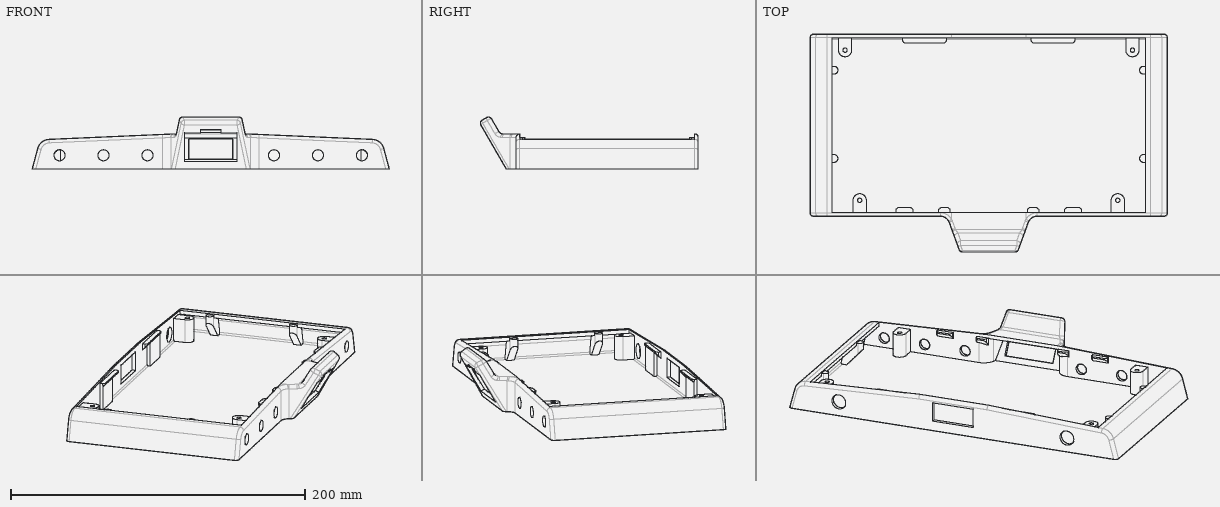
import cadquery as cq
import math

length = 243.0
width = 124.0
wall = 2.7
half_length = length / 2
half_width = width / 2
inner_y = half_width - wall
side_lean = 15.0
ridge_height = 24.0
ridge_half = 25.3
rim_slope = 2.5
shoulder_radius = 8.5
edge_radius = 2.5
floor_radius = 1.0
opening_half = 106.5
opening_bottom = 9.7
tall = 73.0
margin = 0.2

nose_reach = 29.2
nose_half = 28.5
nose_taper = 20.0
nose_blend = 6.0
plate_tilt = 30.0
plate_foot_y = -68.5
plate_thickness = 8.5
plate_height = 37.2
plate_blend = 2.7

hole_height = 9.5
front_hole_diameter = 7.5
front_hole_pitch = 30.0
front_hole_middle = 73.0
rear_hole_diameter = 10.2
rear_hole_x = 84.4
rear_hole_height = 10.2
rear_window = (30.0, 13.4)
rear_window_bottom = 7.0
display_window_width = 35.5
display_window_bottom = 5.0
display_window_top = 24.5
display_notch = (13.5, 2.5, 0.7)

post_width = 9.0
post_hole_diameter = 3.0
post_top = 19.0
post_hole_depth = 14.5
rear_post = (97.7, 51.0)
front_post = (87.8, -51.0)

lip_top = 21.6
lip_edge = 1.0
lip_reach = 3.5
lip_corner = 1.5
rear_lip = (43.8, 30.1)
front_lips = ((57.4, 11.7), (30.1, 7.8))
pad_length = 20.2
pad_thickness = 2.2

peg_width = 5.3
peg_tip = 102.5
peg_top = 19.7
peg_bottom = 14.8
peg_foot = 113.8
peg_places = (37.5, -22.5)

tilt = math.radians(plate_tilt)


def tilted(along, depth):
    """Y and Z of a point `along` the plate from its foot and `depth` behind its face."""
    y = plate_foot_y - along * math.sin(tilt) + depth * math.cos(tilt)
    z = along * math.cos(tilt) + depth * math.sin(tilt)
    return (y, z)


def yz_prism(points, span):
    """Prism along X, centred, with a Y-Z outline."""
    return cq.Workplane("YZ").polyline(points).close().extrude(span / 2, both=True)


def half_space_before(depth):
    """Everything in front of the plane lying `depth` behind the plate's face."""
    far = depth - tall
    return yz_prism([tilted(-tall, depth), tilted(tall, depth), tilted(tall, far), tilted(-tall, far)], length)


def inset_prism(prism, face, inset, along):
    """Prism on the outline of the chosen face, inset all round, running by the vector `along`."""
    outline = prism.faces(face).wires().val().offset2D(-inset)[0]
    return cq.Workplane(cq.Solid.extrudeLinear(outline, [], cq.Vector(*along)))


def plan_prism():
    """Tall prism over the plan outline: rectangle plus the tapered nose, blended."""
    tip_half = nose_half - nose_reach * math.tan(math.radians(nose_taper))
    front = -half_width
    outline = [
        (half_length, half_width), (-half_length, half_width), (-half_length, front),
        (-nose_half, front), (-tip_half, front - nose_reach),
        (tip_half, front - nose_reach), (nose_half, front), (half_length, front),
    ]
    prism = cq.Workplane("XY").polyline(outline).close().extrude(tall)
    roots = cq.selectors.BoxSelector(
        (-nose_half - margin, front - margin, 0), (nose_half + margin, front + margin, tall)
    )
    return prism.edges("|Z").edges(roots).fillet(nose_blend)


def section_prism():
    """Prism along Y with the lengthwise section of the tray."""
    lean = math.tan(math.radians(side_lean))
    slope = math.tan(math.radians(rim_slope))
    shoulder_z = (ridge_height - (half_length - ridge_half) * slope) / (1 - lean * slope)
    shoulder_x = half_length - shoulder_z * lean
    outline = [
        (half_length, 0), (shoulder_x, shoulder_z), (ridge_half, ridge_height),
        (-ridge_half, ridge_height), (-shoulder_x, shoulder_z), (-half_length, 0),
    ]
    prism = cq.Workplane("XZ").polyline(outline).close().extrude(width, both=True)
    shoulders = cq.selectors.BoxSelector(
        (-half_length, -2 * width, shoulder_z - margin), (half_length, 2 * width, shoulder_z + margin)
    )
    return prism.edges("|Y").edges(shoulders).fillet(shoulder_radius)


def roof_corner(inset):
    """Y and Z of the inner corner between the nose roof and the back of the plate."""
    z = ridge_height - inset
    y = plate_foot_y + (plate_thickness - inset) / math.cos(tilt) - z * math.tan(tilt)
    return (y, z)


def join_plate(section, plan, inset):
    """Trim the section to the plan with the tilted plate, thinned by `inset`, blended into the nose roof."""
    near = inset
    far = plate_thickness - inset
    top = plate_height - inset
    plate = yz_prism([tilted(0, near), tilted(top, near), tilted(top, far), tilted(0, far)], 2 * nose_half)
    joined = section.union(plate).intersect(plan).cut(half_space_before(near))

    corner = cq.selectors.NearestToPointSelector((0, *roof_corner(inset)))
    return joined.edges(corner).fillet(plate_blend + inset)


def outer_block():
    """Solid outside shape with all its outer edges rounded."""
    block = join_plate(section_prism(), plan_prism(), 0)

    corner_y, corner_z = roof_corner(0)
    seams = cq.selectors.BoxSelector(
        (-margin, corner_y - plate_blend, corner_z - margin),
        (margin, corner_y + plate_blend, corner_z + plate_blend),
    )
    above_base = cq.selectors.BoxSelector((-length, -length, margin), (length, length, tall))
    rounded = block.edges("not (|Z or |Y)").edges(above_base - seams)
    return rounded.fillet(edge_radius)


def cavity():
    """Inside of the tray and nose, open at the top between the two side rims."""
    in_plan = inset_prism(plan_prism(), "<Z", wall, (0, 0, tall)).translate((0, 0, wall))
    in_section = inset_prism(section_prism(), ">Y", wall, (0, -2 * width, 0))
    inside = join_plate(in_section, in_plan, wall)
    inside = inside.edges("<Z").edges(">Y or <X or >X").fillet(floor_radius)
    opening = cq.Workplane("XY").box(2 * opening_half, 2 * inner_y, tall, centered=(True, True, False))
    return inside.union(opening.translate((0, 0, opening_bottom)))


def drill_y(x, z, diameter, wall_y):
    """Cylinder along Y that passes through the front or rear wall."""
    return cq.Workplane("XZ", origin=(x, wall_y, z)).circle(diameter / 2).extrude(2 * wall, both=True)


def wall_holes():
    cutters = cq.Workplane("XY")
    for side in (-1, 1):
        for step in (-1, 0, 1):
            x = side * (front_hole_middle + step * front_hole_pitch)
            cutters = cutters.add(drill_y(x, hole_height, front_hole_diameter, -half_width))
        cutters = cutters.add(drill_y(side * rear_hole_x, rear_hole_height, rear_hole_diameter, half_width))
    window_width, window_height = rear_window
    window = cq.Workplane("XY").box(window_width, 4 * wall, window_height, centered=(True, True, False))
    return cutters.add(window.translate((0, half_width, rear_window_bottom))).combine()


def display_window():
    """Opening cut square through the tilted plate, with a shallow notch above it."""
    bottom = display_window_bottom / math.cos(tilt)
    top = display_window_top / math.cos(tilt)
    through = 1.5 * wall
    opening = yz_prism(
        [tilted(bottom, -wall), tilted(top, -wall), tilted(top, through), tilted(bottom, through)],
        display_window_width,
    )
    notch_width, notch_height, notch_depth = display_notch
    notch_top = top + notch_height
    notch = yz_prism(
        [tilted(top, -wall), tilted(notch_top, -wall), tilted(notch_top, notch_depth), tilted(top, notch_depth)],
        notch_width,
    )
    return opening.union(notch)


def post(x, y):
    """Screw post with a round end, joined to the nearer long wall."""
    wall_y = math.copysign(half_width - wall / 2, y)
    web = cq.Workplane("XY").box(post_width, abs(wall_y - y), post_top, centered=(True, True, False))
    solid = cq.Workplane("XY").circle(post_width / 2).extrude(post_top).translate((x, y, 0))
    solid = solid.union(web.translate((x, (y + wall_y) / 2, 0)))
    hole = cq.Workplane("XY", origin=(x, y, post_top - post_hole_depth))
    return solid.cut(hole.circle(post_hole_diameter / 2).extrude(post_hole_depth))


def lip(middle, span, side):
    """Snap lip with a sloping underside on the rear (side 1) or front (side -1) wall."""
    root = inner_y + wall / 2
    edge = inner_y - lip_reach
    under = lip_top - lip_edge
    profile = [
        (side * root, lip_top), (side * edge, lip_top),
        (side * edge, under), (side * root, under - (root - edge)),
    ]
    ends = "<Y" if side > 0 else ">Y"
    return yz_prism(profile, span).faces(ends).edges("|Z").chamfer(lip_corner).translate((middle, 0, 0))


def lips():
    parts = cq.Workplane("XY")
    middle, span = rear_lip
    pad_middle = middle + (span - pad_length) / 2
    pad_depth = pad_thickness + wall / 2
    pad_shape = cq.Workplane("XY").box(pad_length, pad_depth, lip_top - lip_edge, centered=(True, False, False))
    for side in (-1, 1):
        parts = parts.add(lip(side * middle, span, 1))
        parts = parts.add(pad_shape.translate((side * pad_middle, inner_y - pad_thickness, 0)))
        for front_middle, front_span in front_lips:
            parts = parts.add(lip(side * front_middle, front_span, -1))
    return parts.combine()


def peg(side, y):
    """Round-nosed peg on an end wall, its underside sloping down to the floor."""
    profile = [
        (peg_tip, peg_top), (peg_tip, peg_bottom), (peg_foot, wall), (peg_foot, 0),
        (half_length, 0), (half_length, peg_top),
    ]
    nose_x = peg_tip + peg_width / 2
    bar = cq.Workplane("XZ").polyline(profile).close().extrude(peg_width / 2, both=True)
    plan = cq.Workplane("XY").box(half_length, peg_width, tall, centered=(False, True, False))
    plan = plan.translate((nose_x, 0, 0)).union(
        cq.Workplane("XY", origin=(nose_x, 0, 0)).circle(peg_width / 2).extrude(tall)
    )
    solid = bar.intersect(plan).translate((0, y, 0))
    return solid if side > 0 else solid.mirror("YZ")


def inner_details():
    """Posts, lips and pegs, trimmed to the rounded outside shape."""
    parts = lips()
    for side in (-1, 1):
        for x, y in (rear_post, front_post):
            parts = parts.union(post(side * x, y))
        for y in peg_places:
            parts = parts.union(peg(side, y))
    return parts


block = outer_block()
result = block.cut(cavity()).union(inner_details().intersect(block))
result = result.cut(wall_holes()).cut(display_window())